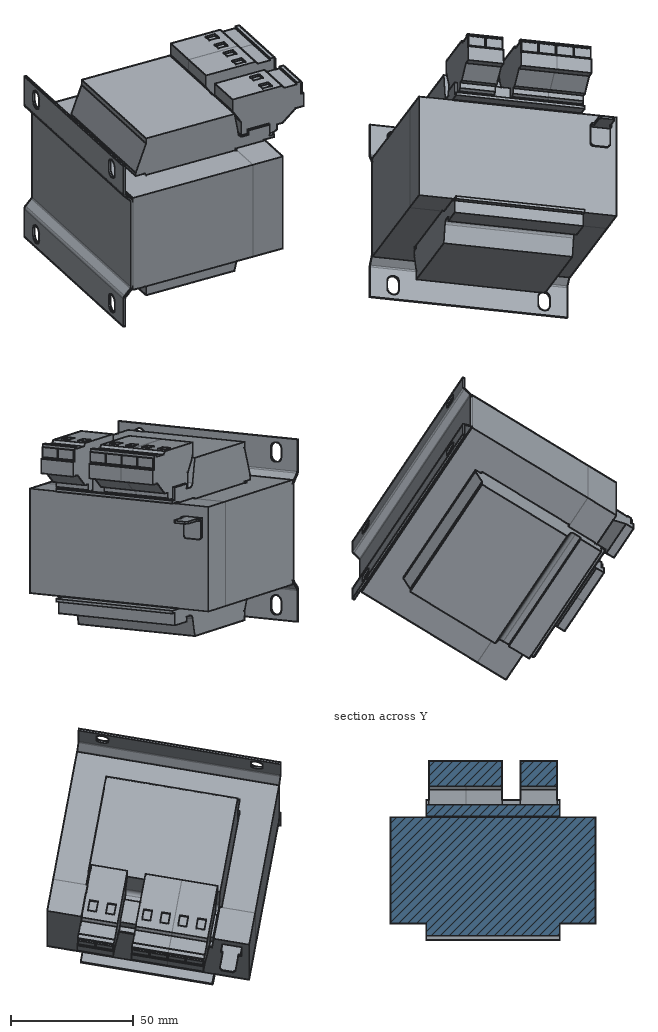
import cadquery as cq
import math


core_width = 84.0
core_height = 43.55
core_front = 4.5
core_back = 74.6
yoke_joint = 60.6
window_front = 18.2
window_half_width = 28.2

plate_thickness = 0.9
plate_height = 75.9
bend_angle = 45
plate_bend_z = 24.0
bend_inner_radius = 0.9
slot_width = 5.0
slot_length = 8.2
slot_spacing_x = 64.2
slot_spacing_z = 63.6

bobbin_width = 54.7
head_front = 18.7
head_back = 60.0
groove_front = 62.25
groove_radius = 2.05
post_front = 66.6
post_back = 76.6
lip_back = 78.7
lip_front = 73.6
lip_bottom = 0.4
lip_top = 1.6
groove_floor = 4.7
post_top = 6.8
upper_head_height = 16.5
upper_foot_front = 13.9
upper_foot_height = 1.5
upper_rim_height = 2.4
lower_head_height = 14.0
lower_foot_front = 15.4
lower_foot_height = 2.05
lower_rim_height = 3.8
upper_gap = 0.3

block_width = 15.0
block_edge = 26.2
block_top = 44.85
block_front = 59.7
block_back = 93.05
block_front_bottom = 39.4
front_leg_y = 63.8
front_leg_slant = 32.9
rear_leg_back = 80.6
rear_leg_bottom = 24.1
rear_leg_chamfer_y = 1.4
rear_leg_chamfer_z = 0.8
shoulder_z = 27.3
shoulder_back = 83.1
nose_front = 89.3
nose_bottom = 32.5
nose_top = 38.5
ridge_top = 44.5
ridge_front = 89.9
recess_floor = 43.6
recess_front = 84.0
top_back = 82.9
pocket_width = 3.4
pocket_length = 4.5
pocket_depth = 0.9
pocket_y = 77.1
label_gap = 0.5
label_back = 92.6
label_bottom = 39.2
label_top = 43.4
label_seat = 91.8

tab_x = -34.9
tab_thickness = 0.9
tab_top = 16.9
tab_bottom = 7.9
tab_base_width = 8.2
tab_blade_width = 6.5
tab_shoulder = 77.8
tab_end = 85.7
tab_chamfer = 0.9

core_top = core_height / 2


def box(x_range, y_range, z_range):
    """Box between the given limits."""
    size = [high - low for low, high in (x_range, y_range, z_range)]
    corner = (x_range[0], y_range[0], z_range[0])
    return cq.Workplane("XY").box(*size, centered=False).translate(corner)


def extrude_x(points, x_start, width):
    """Extrude a closed (Y, Z) outline along X."""
    return cq.Workplane("YZ").workplane(offset=x_start).polyline(points).close().extrude(width)


def make_core():
    half = core_width / 2
    z_range = (-core_top, core_top)
    body = box((-half, half), (core_front, yoke_joint), z_range)
    window = box((-window_half_width, window_half_width), (window_front, yoke_joint), z_range)
    yoke = box((-half, half), (yoke_joint, core_back), z_range)
    return body.cut(window).union(yoke, clean=False)


def make_plate():
    web = core_front - plate_thickness
    web_bend_z = plate_bend_z - web / math.tan(math.radians(bend_angle))
    miter = plate_thickness * math.tan(math.radians(bend_angle / 2))
    top = plate_height / 2
    front = [(0, top), (0, plate_bend_z), (web, web_bend_z)]
    back = [
        (core_front, web_bend_z + miter),
        (plate_thickness, plate_bend_z + miter),
        (plate_thickness, top),
    ]
    front_line = front + [(y, -z) for y, z in reversed(front)]
    back_line = [(y, -z) for y, z in reversed(back)] + back
    plate = extrude_x(front_line + back_line, -core_width / 2, core_width)

    outer_radius = bend_inner_radius + plate_thickness

    def round_bends(body, corner, radius):
        """Round the edge at a (Y, Z) corner and its mirror image below."""
        y, z = corner
        for side in (-1, 1):
            sharp_edge = cq.selectors.NearestToPointSelector((0, y, side * z))
            body = body.edges(sharp_edge).fillet(radius)
        return body

    plate = round_bends(plate, front[1], outer_radius)
    plate = round_bends(plate, front[2], bend_inner_radius)
    plate = round_bends(plate, back[0], outer_radius)
    plate = round_bends(plate, back[1], bend_inner_radius)

    slots = (
        cq.Workplane("XZ")
        .rarray(slot_spacing_x, slot_spacing_z, 2, 2)
        .slot2D(slot_length, slot_width, 90)
        .extrude(-plate_thickness)
    )
    return plate.cut(slots)


def make_head(height, foot_front, foot_height, rim_height):
    """Bobbin head standing on Z = 0; its end walls lean inward."""
    outline = [
        (foot_front, 0),
        (foot_front, foot_height),
        (head_front, height - rim_height),
        (head_front, height),
        (head_back, height),
        (groove_front, groove_floor),
        (post_front, groove_floor),
        (post_front, post_top),
        (post_back, post_top),
        (post_back, lip_top),
        (lip_back, lip_top),
        (lip_back, lip_bottom),
        (lip_front, lip_bottom),
        (lip_front, 0),
    ]
    head = extrude_x(outline, -bobbin_width / 2, bobbin_width)
    groove_corner = cq.selectors.NearestToPointSelector((0, groove_front, groove_floor))
    return head.edges(groove_corner).fillet(groove_radius)


def make_bobbin():
    half = bobbin_width / 2
    head_base = core_top + upper_gap
    neck = box((-half, half), (window_front, yoke_joint), (-core_top, head_base))
    upper = make_head(upper_head_height, upper_foot_front, upper_foot_height, upper_rim_height)
    lower = make_head(lower_head_height, lower_foot_front, lower_foot_height, lower_rim_height)
    upper = upper.translate((0, 0, head_base))
    lower = lower.mirror("XY").translate((0, 0, -core_top))
    return neck.union(upper).union(lower)


def make_block(x_start):
    """Terminal block clipped over the post of the upper bobbin head."""
    head_base = core_top + upper_gap
    leg_bottom = head_base + groove_floor
    saddle = head_base + post_top
    outline = [
        (block_front, block_top),
        (block_front, block_front_bottom),
        (front_leg_y, front_leg_slant),
        (front_leg_y, leg_bottom),
        (post_front, leg_bottom),
        (post_front, saddle),
        (post_back, saddle),
        (post_back, rear_leg_bottom),
        (rear_leg_back - rear_leg_chamfer_y, rear_leg_bottom),
        (rear_leg_back, rear_leg_bottom + rear_leg_chamfer_z),
        (rear_leg_back, shoulder_z),
        (shoulder_back, shoulder_z),
        (nose_front, nose_bottom),
        (block_back, nose_bottom),
        (block_back, nose_top),
        (label_seat, nose_top),
        (label_seat, ridge_top),
        (ridge_front, ridge_top),
        (ridge_front, recess_floor),
        (recess_front, recess_floor),
        (top_back, block_top),
    ]
    block = extrude_x(outline, x_start, block_width)
    label_width = block_width / 2 - label_gap
    for quarter in (0.25, 0.75):
        x = x_start + quarter * block_width
        pocket = box(
            (x - pocket_width / 2, x + pocket_width / 2),
            (pocket_y - pocket_length / 2, pocket_y + pocket_length / 2),
            (block_top - pocket_depth, block_top),
        )
        label = box(
            (x - label_width / 2, x + label_width / 2),
            (label_seat, label_back),
            (label_bottom, label_top),
        )
        block = block.cut(pocket).union(label)
    return block


def make_earth_tab():
    """Angle with a foot on the back of the core and a narrower blade pointing to +Y."""
    half_base = tab_base_width / 2
    half_blade = tab_blade_width / 2
    x_range = (tab_x - half_base, tab_x + half_base)
    z_range = (tab_top - tab_thickness, tab_top)
    foot = box(x_range, (core_back, core_back + tab_thickness), (tab_bottom, tab_top))
    foot = foot.edges("|Y and <Z").chamfer(tab_chamfer)
    base = box(x_range, (core_back, tab_shoulder), z_range)
    blade = box((tab_x - half_blade, tab_x + half_blade), (core_back, tab_end), z_range)
    blade = blade.edges("|Z and >Y").chamfer(tab_chamfer)
    return foot.union(base).union(blade)


result = make_core().union(make_plate(), clean=False)
result = result.union(make_bobbin(), clean=False)
for block_start in (-block_edge, -block_edge + block_width, block_edge - block_width):
    result = result.union(make_block(block_start), clean=False)
result = result.union(make_earth_tab(), clean=False)